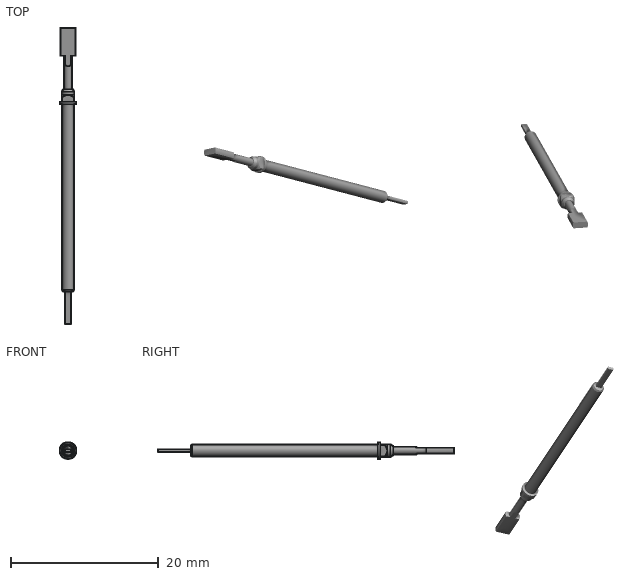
import cadquery as cq

overall_length = 40.2

tip_end = 10.35
tail_end = tip_end - overall_length
blade_length = 3.8
blade_root = tip_end - blade_length
neck_flat_end = blade_root - 1.4
collar_top = 0.35
nose_end = 2.05
nose_base = 1.7
square_top = 1.25
barrel_end = -25.4
barrel_taper_length = 0.24

barrel_diameter = 1.66
barrel_end_diameter = 1.35
collar_diameter = 2.3
head_diameter = 1.75
nose_diameter = 1.3
neck_diameter = 1.1
blade_diameter = 2.1
tail_diameter = 0.86

square_across_flats = head_diameter
square_corner_drop = 0.28
blade_thickness = 0.84
flat_end_radius = 0.45
tail_thickness = 0.42
tail_chamfer = 0.05


def rod(diameter, y_start, y_end):
    """Round rod on the Y axis between two stations."""
    circle = cq.Workplane("XZ", origin=(0, y_start, 0)).circle(diameter / 2)
    return circle.extrude(-(y_end - y_start))


def slab(width, thickness, y_start, y_end):
    """Rectangular bar centred on the Y axis between two stations."""
    rectangle = cq.Workplane("XZ", origin=(0, y_start, 0)).rect(width, thickness)
    return rectangle.extrude(-(y_end - y_start))


def make_barrel():
    """Solid round barrel whose tail end tapers in."""
    taper_start = barrel_end + barrel_taper_length
    profile = (
        cq.Workplane("XY")
        .moveTo(0, 0)
        .lineTo(barrel_diameter / 2, 0)
        .lineTo(barrel_diameter / 2, taper_start)
        .lineTo(barrel_end_diameter / 2, barrel_end)
        .lineTo(0, barrel_end)
        .close()
    )
    return profile.revolve(360, (0, 0, 0), (0, 1, 0))


def make_head():
    """Square drive on the collar, turned down to a round, tapered nose."""
    turned = (
        cq.Workplane("XY")
        .moveTo(0, 0)
        .lineTo(collar_diameter / 2, 0)
        .lineTo(collar_diameter / 2, square_top - square_corner_drop)
        .lineTo(head_diameter / 2, square_top)
        .lineTo(head_diameter / 2, nose_base)
        .lineTo(nose_diameter / 2, nose_end)
        .lineTo(0, nose_end)
        .close()
        .revolve(360, (0, 0, 0), (0, 1, 0))
    )
    square = slab(square_across_flats, square_across_flats, 0, nose_end)
    return rod(collar_diameter, 0, collar_top).union(turned.intersect(square))


def blade_flat_cutter(side):
    """Block above (side = 1) or below (side = -1) the blade; its neck end is a shallow arc in plan."""
    half_width = blade_diameter / 2
    height = (blade_diameter - blade_thickness) / 2
    arc_centre = neck_flat_end + flat_end_radius
    outline = (
        cq.Workplane("XY", origin=(0, 0, side * blade_thickness / 2))
        .moveTo(-flat_end_radius, arc_centre)
        .threePointArc((0, neck_flat_end), (flat_end_radius, arc_centre))
        .lineTo(half_width, arc_centre)
        .lineTo(half_width, tip_end)
        .lineTo(-half_width, tip_end)
        .lineTo(-half_width, arc_centre)
        .close()
    )
    return outline.extrude(side * height)


def make_plunger():
    """Round neck carrying a flat blade with rounded sides; the blade's flats run into the neck."""
    plunger = rod(neck_diameter, nose_base, blade_root).union(rod(blade_diameter, blade_root, tip_end))
    for side in (1, -1):
        plunger = plunger.cut(blade_flat_cutter(side))
    return plunger


def make_tail():
    """Round pin with two flats; every edge of its end face is chamfered."""
    pin = rod(tail_diameter, tail_end, barrel_end)
    pin = pin.intersect(slab(tail_diameter, tail_thickness, tail_end, barrel_end))
    return pin.faces("<Y").chamfer(tail_chamfer)


result = make_barrel().union(make_head()).union(make_plunger()).union(make_tail())